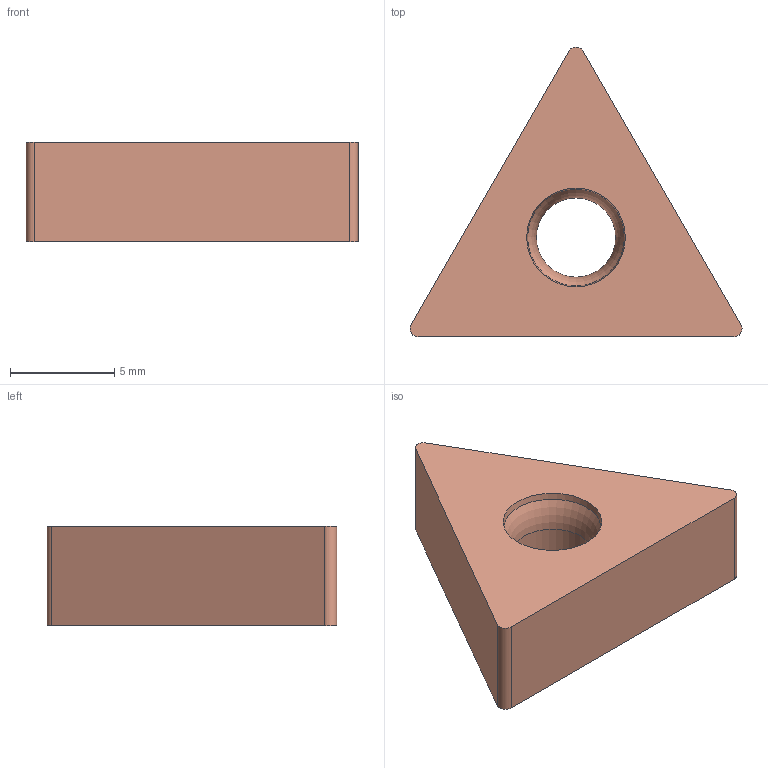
import cadquery as cq
import math

inscribed_diameter = 9.52
corner_radius = 0.4
thickness = 4.76

bore_radius = 1.9
mouth_radius = 2.365
throat_radius = 2.32
taper_depth = 0.32
flare_end_depth = 1.78


def make_plate():
    """Equilateral prism centred on its inscribed circle, one corner along +Y."""
    circumscribed_diameter = inscribed_diameter / math.cos(math.pi / 3)
    return (
        cq.Workplane("XY")
        .transformed(rotate=(0, 0, 90))
        .polygon(3, circumscribed_diameter)
        .extrude(thickness)
        .edges("|Z")
        .fillet(corner_radius)
    )


def make_hole():
    """Revolved cutter: straight bore, arc tangent to the bore, then a short taper to the top."""
    throat_z = thickness - taper_depth
    flare_end_z = thickness - flare_end_depth
    return (
        cq.Workplane("XZ")
        .lineTo(bore_radius, 0)
        .lineTo(bore_radius, flare_end_z)
        .tangentArcPoint((throat_radius, throat_z), relative=False)
        .lineTo(mouth_radius, thickness)
        .lineTo(0, thickness)
        .close()
        .revolve(360, (0, 0, 0), (0, 1, 0))
    )


result = make_plate().cut(make_hole())